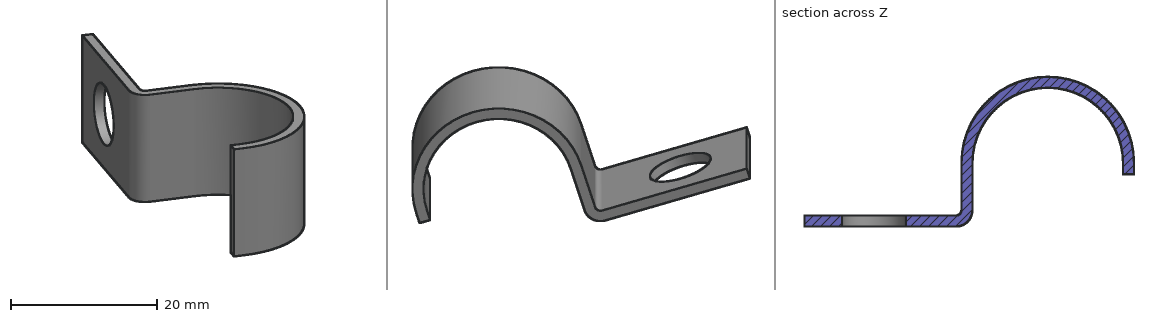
import cadquery as cq

length = 45.15
depth = 20.55
width = 15.9

thickness = 1.55
outer_radius = 11.85
inner_radius = outer_radius - thickness
bend_inner_radius = 0.75
bend_outer_radius = bend_inner_radius + thickness
free_leg = 1.55

hole_diameter = 8.7
hole_x = 9.55

saddle_x = length - outer_radius
saddle_y = depth - outer_radius
wall_left = saddle_x - outer_radius
wall_right = saddle_x - inner_radius


def strip_body():
    """Flange, upright wall and half-round saddle, extruded along Z."""
    profile = (
        cq.Workplane("XY")
        .polyline([(0, thickness), (0, 0), (wall_right, 0), (wall_right, saddle_y)])
        .threePointArc((saddle_x, saddle_y + inner_radius), (saddle_x + inner_radius, saddle_y))
        .lineTo(saddle_x + inner_radius, saddle_y - free_leg)
        .lineTo(length, saddle_y - free_leg)
        .lineTo(length, saddle_y)
        .threePointArc((saddle_x, depth), (wall_left, saddle_y))
        .lineTo(wall_left, thickness)
        .close()
    )
    return profile.extrude(width)


def round_bend(body):
    """Round both sides of the corner between flange and wall."""
    mid_z = width / 2
    outer_corner = cq.selectors.NearestToPointSelector((wall_right, 0, mid_z))
    inner_corner = cq.selectors.NearestToPointSelector((wall_left, thickness, mid_z))
    body = body.edges("|Z").edges(outer_corner).fillet(bend_outer_radius)
    return body.edges("|Z").edges(inner_corner).fillet(bend_inner_radius)


def mounting_hole():
    """Cylinder passing through the flange along Y."""
    return (
        cq.Workplane("XZ")
        .center(hole_x, width / 2)
        .circle(hole_diameter / 2)
        .extrude(-thickness)
    )


result = round_bend(strip_body()).cut(mounting_hole())